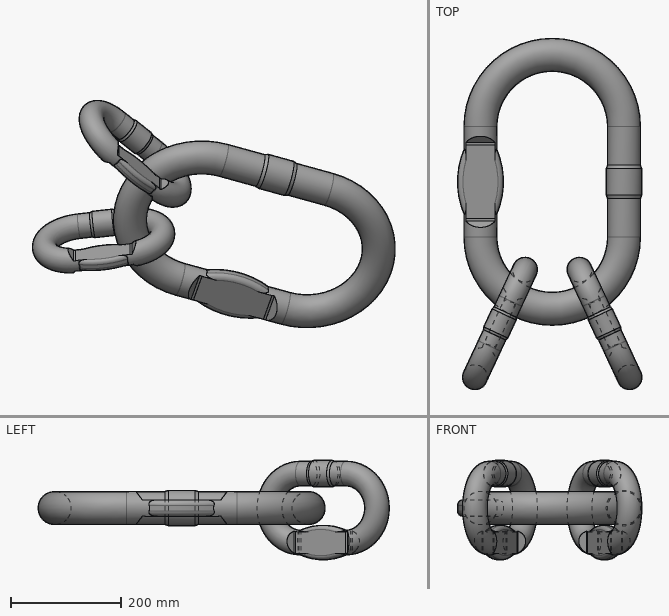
import cadquery as cq
import math

MASTER_ROD = 60.0
MASTER_STRAIGHT = 200.0
MASTER_INNER_WIDTH = 200.0

SUB_ROD = 45.0
SUB_STRAIGHT = 90.0
SUB_INNER_WIDTH = 80.0
SUB_TILT = 25.0
SUB_CENTRE_X = 94.67
SUB_CENTRE_Y = -256.54

SLEEVE_DIAMETER = 64.5
SLEEVE_FULL_LENGTH = 48.0
SLEEVE_LENGTH = 61.0
GRIP_HALF_WIDTH = 41.8
GRIP_LENGTH = 133.0
GRIP_THICKNESS = 30.0
GRIP_FILLET = 10.0
FLOOR_THICKNESS = 29.0
FLOOR_LENGTH = 142.0
RAMP_LENGTH = 165.0


def arm_offset(rod, inner_width):
    """Distance from the link centre to the centreline of each straight arm."""
    return (inner_width + rod) / 2


def make_rod(rod, straight, arm):
    """Round rod swept round a closed oval with its long side along Y."""
    half = straight / 2
    oval = (
        cq.Workplane("XY")
        .moveTo(arm, -half)
        .lineTo(arm, half)
        .threePointArc((0, half + arm), (-arm, half))
        .lineTo(-arm, -half)
        .threePointArc((0, -half - arm), (arm, -half))
        .close()
    )
    return cq.Workplane("XZ", origin=(arm, -half, 0)).circle(rod / 2).sweep(oval)


def make_sleeve(rod, arm, scale):
    """Raised ring with tapered ends on the +X arm."""
    end = SLEEVE_LENGTH * scale / 2
    full = SLEEVE_FULL_LENGTH * scale / 2
    outer = SLEEVE_DIAMETER * scale / 2
    profile = [(0, -end), (rod / 2, -end), (outer, -full), (outer, full), (rod / 2, end), (0, end)]
    ring = cq.Workplane("XY").polyline(profile).close().revolve(360, (0, 0, 0), (0, 1, 0))
    return ring.translate((arm, 0, 0))


def make_flat_cutter(rod, arm, scale):
    """Material removed above the flat of the -X arm: a stepped floor between two ramps."""
    top = rod / 2
    face = GRIP_THICKNESS * scale / 2
    floor = FLOOR_THICKNESS * scale / 2
    grip_end = GRIP_LENGTH * scale / 2
    floor_end = FLOOR_LENGTH * scale / 2
    ramp_end = RAMP_LENGTH * scale / 2
    half = [(grip_end, face), (grip_end, floor), (floor_end, floor), (ramp_end, top), (ramp_end, rod)]
    mirrored = [(-y, z) for y, z in reversed(half)]
    cutter = cq.Workplane("YZ").polyline(half + mirrored).close().extrude(rod / 2, both=True)
    return cutter.translate((-arm, 0, 0))


def make_grip(rod, arm, scale):
    """Bulged plate with rounded edges on the -X arm."""
    end = GRIP_LENGTH * scale / 2
    middle = GRIP_HALF_WIDTH * scale
    face = GRIP_THICKNESS * scale / 2
    end_width = math.sqrt((rod / 2) ** 2 - face ** 2)
    plate = (
        cq.Workplane("XY")
        .moveTo(end_width, -end)
        .threePointArc((middle, 0), (end_width, end))
        .lineTo(-end_width, end)
        .threePointArc((-middle, 0), (-end_width, -end))
        .close()
        .extrude(face, both=True)
    )
    plate = plate.edges("%CIRCLE").fillet(GRIP_FILLET * scale)
    return plate.translate((-arm, 0, 0))


def make_link(rod, straight, inner_width):
    """One link lying in the XY plane, grip on the -X arm and sleeve on the +X arm."""
    scale = rod / MASTER_ROD
    arm = arm_offset(rod, inner_width)
    cutter = make_flat_cutter(rod, arm, scale)
    link = make_rod(rod, straight, arm)
    link = link.cut(cutter).cut(cutter.mirror("XY"))
    return link.union(make_sleeve(rod, arm, scale)).union(make_grip(rod, arm, scale))


def make_sub_link(side):
    """Sub link stood upright, sleeve on top, leaning outward on the given side of the YZ plane."""
    link = make_link(SUB_ROD, SUB_STRAIGHT, SUB_INNER_WIDTH)
    upright = link.rotate((0, 0, 0), (0, 1, 0), -90)
    leaning = upright.rotate((0, 0, 0), (0, 0, 1), side * SUB_TILT)
    return leaning.translate((side * SUB_CENTRE_X, SUB_CENTRE_Y, 0))


master_link = make_link(MASTER_ROD, MASTER_STRAIGHT, MASTER_INNER_WIDTH)
sub_links = [make_sub_link(side) for side in (-1, 1)]

result = cq.Compound.makeCompound([master_link.val(), *[link.val() for link in sub_links]])